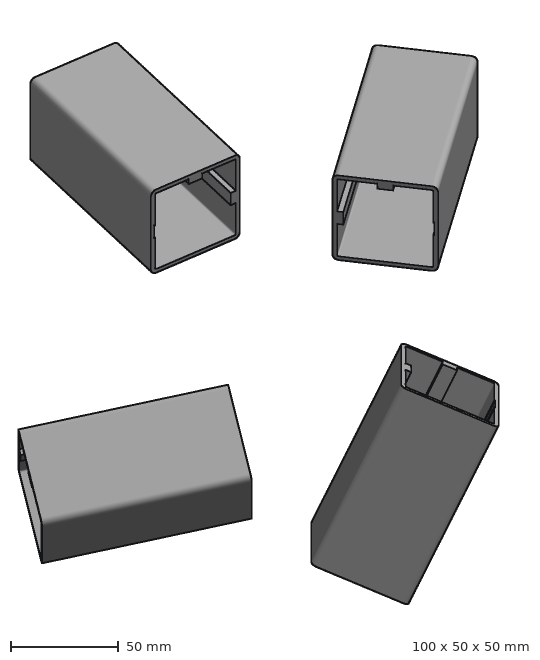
import cadquery as cq

length = 100.0
side = 50.0
wall = 2.3
outer_radius = 3.1
inner_radius = outer_radius - wall

rib_width = 7.4
rib_height = 2.9
groove_width = rib_width
groove_depth = 0.4

inner_side = side - 2 * wall
inner_face = inner_side / 2
overlap = wall / 2


def rounded_bar(width, radius):
    """Square bar along X with rounded long edges."""
    return cq.Workplane("YZ").rect(width, width).extrude(length).edges("|X").fillet(radius)


def strip(y_size, z_size, y_center, z_center):
    """Rectangular strip along the full length of the tube."""
    return cq.Workplane("YZ").center(y_center, z_center).rect(y_size, z_size).extrude(length)


tube = rounded_bar(side, outer_radius).cut(rounded_bar(inner_side, inner_radius))

rib_size = rib_height + overlap
rib_center = inner_face + overlap - rib_size / 2
side_rib = strip(rib_size, rib_width, rib_center, 0)
top_rib = strip(rib_width, rib_size, 0, rib_center)

groove = strip(2 * groove_depth, groove_width, -inner_face, 0)

result = tube.union(side_rib).union(top_rib).cut(groove)